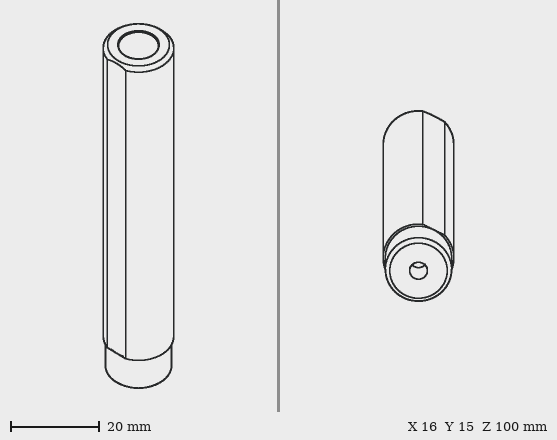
import cadquery as cq
import math

total_length = 100.0

plug_diameter = 15.0
plug_length = 10.0
plug_chamfer = 1.0
passage_diameter = 4.0
funnel_angle = 140.0

tube_diameter = 16.0
tube_length = total_length - plug_length
tube_chamfer = 1.0
across_flats = 15.0
bore_diameter = 9.0
mouth_depth = 0.3
mouth_angle = 30.0


def revolve_about_z(profile_points):
    """Turn a closed (radius, height) profile around the Z axis."""
    profile = cq.Workplane("XZ").polyline(profile_points).close()
    return profile.revolve(360, (0, 0, 0), (0, 1, 0))


def make_tube():
    """Bored tube, bevelled at the top, with flats on its -Y and +Y sides."""
    outer_radius = tube_diameter / 2
    bore_radius = bore_diameter / 2
    mouth_radius = bore_radius + mouth_depth * math.tan(math.radians(mouth_angle))
    tube_bottom = plug_length

    turned_tube = revolve_about_z([
        (bore_radius, tube_bottom),
        (outer_radius, tube_bottom),
        (outer_radius, total_length - tube_chamfer),
        (outer_radius - tube_chamfer, total_length),
        (mouth_radius, total_length),
        (bore_radius, total_length - mouth_depth),
    ])
    space_between_flats = (
        cq.Workplane("XY", origin=(0, 0, tube_bottom))
        .rect(tube_diameter, across_flats)
        .extrude(tube_length)
    )
    return turned_tube.intersect(space_between_flats)


def make_plug():
    """Round plug with a through passage that widens to the tube bore at its top."""
    outer_radius = plug_diameter / 2
    passage_radius = passage_diameter / 2
    funnel_radius = bore_diameter / 2
    funnel_depth = (funnel_radius - passage_radius) / math.tan(math.radians(funnel_angle / 2))
    return revolve_about_z([
        (passage_radius, 0),
        (outer_radius - plug_chamfer, 0),
        (outer_radius, plug_chamfer),
        (outer_radius, plug_length),
        (funnel_radius, plug_length),
        (passage_radius, plug_length - funnel_depth),
    ])


tube = make_tube()
plug = make_plug()

result = cq.Compound.makeCompound([tube.val(), plug.val()])